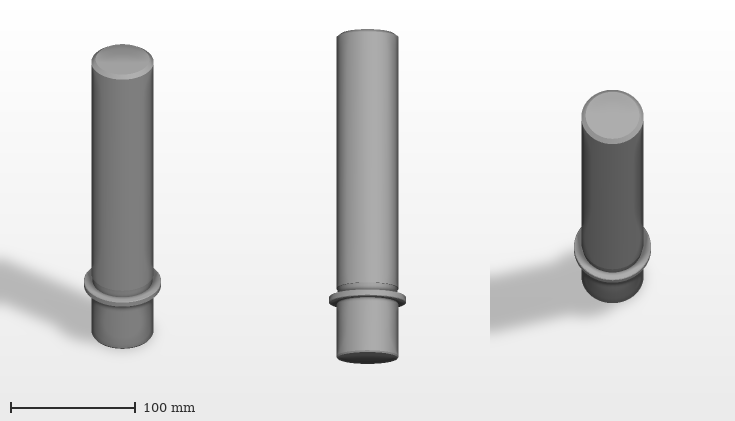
import cadquery as cq

total_length = 265.0
body_diameter = 50.0
body_radius = body_diameter / 2

collar_radius = 31.0
collar_bottom = 45.0
collar_thickness = 5.0
collar_bevel = 0.5
neck_radius = 24.0
neck_length = 7.0

tip_bevel_width = 3.5
tip_bevel_height = 2.6
base_bevel_width = 0.8
base_bevel_height = 1.3
shoulder_bevel_height = 1.5

collar_top = collar_bottom + collar_thickness
neck_top = collar_top + neck_length

half_section = [
    (0, 0),
    (body_radius - base_bevel_width, 0),
    (body_radius, base_bevel_height),
    (body_radius, collar_bottom - shoulder_bevel_height),
    (neck_radius, collar_bottom),
    (collar_radius - collar_bevel, collar_bottom),
    (collar_radius, collar_bottom + collar_bevel),
    (collar_radius, collar_top - collar_bevel),
    (collar_radius - collar_bevel, collar_top),
    (neck_radius, collar_top),
    (neck_radius, neck_top),
    (body_radius, neck_top),
    (body_radius, total_length - tip_bevel_height),
    (body_radius - tip_bevel_width, total_length),
    (0, total_length),
]

result = cq.Workplane("XZ").polyline(half_section).close().revolve(360, (0, 0), (0, 1))